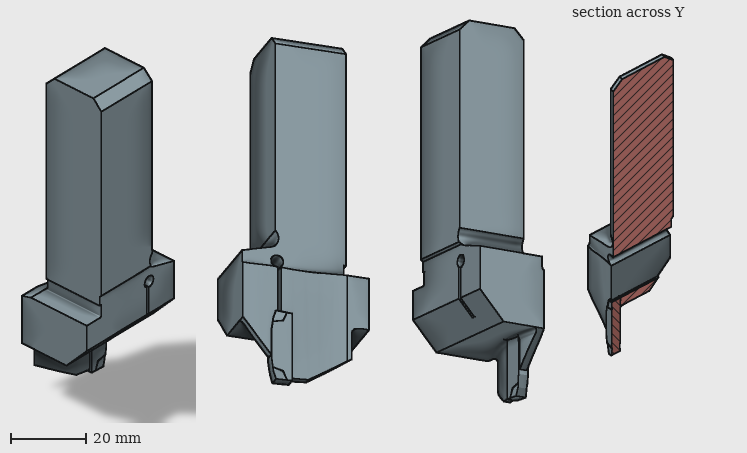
import cadquery as cq
import math


SHANK_WIDTH = 20.0
TOTAL_HEIGHT = 101.8
TOP_CHAMFER = 3.0
RELIEF = 0.6
SIDE_RELIEF_Z = 40.1
FRONT_RELIEF_Z = 36.6

HEAD_LEFT = -4.1
HEAD_RIGHT = SHANK_WIDTH - RELIEF
HEAD_FRONT = -5.1
HEAD_BACK = 29.3
HEAD_BOTTOM = 16.8
LEDGE_Z = 32.8
LEDGE_FILLET = 0.6
SHOULDER_ANGLE = math.radians(15)
SIDE_SHOULDER_Z = 31.9
SIDE_SHOULDER_FILLET = 1.3
BACK_SHOULDER_Z = 36.6
UNDERCUT_RADIUS = 3.1
UNDERCUT_DEPTH = 0.9
CORNER_CUT_X = 7.3
CORNER_CUT_Z = 7.9

ARC_Y = 20.9
INNER_CREST_X = -0.2
INNER_RADIUS = 52.4
INNER_FLAT_Y = 27.3
OUTER_CREST_X = 2.0
BLADE_FRONT = -0.2
BLADE_BOTTOM = 0.9
BLADE_BOTTOM_FRONT = 11.0
FRONT_CUT_ANGLE = math.radians(30)
JAW_TIP_Z = 7.1
BLADE_FILLET = 1.5

HOLE_Y = 19.4
HOLE_Z = 34.9
HOLE_RADIUS = 1.7
SLOT_FRONT = 18.4
SLOT_BACK = 19.3

INSERT_LENGTH = 20.2
INSERT_FRONT = 15.4
INSERT_BACK = 21.2
INSERT_CENTER_X = 0.9
INSERT_THICKNESS = 3.0
TIP_Y = SHANK_WIDTH
END_RELIEF = 0.2
RAKE_Y = 20.7
RAKE_Z = 2.2
RAKE_END_Z = 5.8
TIP_WIDTH = 3.1
NECK_WIDTH = 2.6
NECK_Z = 2.6
TIP_FRONT_LOW = 16.8
TIP_FRONT_HIGH = 17.9
TIP_RAMP_Z = 3.5

OUTER_SAGITTA = OUTER_CREST_X - HEAD_LEFT
OUTER_CHORD = ARC_Y - BLADE_FRONT
OUTER_RADIUS = (OUTER_SAGITTA**2 + OUTER_CHORD**2) / (2 * OUTER_SAGITTA)


def extrude_along_x(outline, x_start, x_end):
    """Extrude a closed YZ outline between two X positions."""
    return outline.close().extrude(x_end - x_start).translate((x_start, 0, 0))


def upright_cylinder(crest_x, radius):
    """Full-height cylinder whose +X crest is at crest_x on the arc centre line."""
    return cq.Workplane("XY").center(crest_x - radius, ARC_Y).circle(radius).extrude(TOTAL_HEIGHT)


def make_shank_and_head():
    undercut_y = SHANK_WIDTH - UNDERCUT_DEPTH + UNDERCUT_RADIUS
    tangent_y = undercut_y - UNDERCUT_RADIUS * math.sin(SHOULDER_ANGLE)
    tangent_z = BACK_SHOULDER_Z + (HEAD_BACK - tangent_y) * math.tan(SHOULDER_ANGLE)
    undercut_z = tangent_z + UNDERCUT_RADIUS * math.cos(SHOULDER_ANGLE)
    undercut_rise = math.sqrt(UNDERCUT_RADIUS**2 - (undercut_y - SHANK_WIDTH) ** 2)
    side = extrude_along_x(
        cq.Workplane("YZ")
        .moveTo(HEAD_FRONT, HEAD_BOTTOM)
        .lineTo(HEAD_BACK, HEAD_BOTTOM)
        .lineTo(HEAD_BACK, BACK_SHOULDER_Z)
        .lineTo(tangent_y, tangent_z)
        .threePointArc(
            (SHANK_WIDTH - UNDERCUT_DEPTH, undercut_z),
            (SHANK_WIDTH, undercut_z + undercut_rise),
        )
        .lineTo(SHANK_WIDTH, TOTAL_HEIGHT)
        .lineTo(0, TOTAL_HEIGHT)
        .lineTo(0, FRONT_RELIEF_Z)
        .lineTo(RELIEF, FRONT_RELIEF_Z)
        .lineTo(RELIEF, LEDGE_Z + LEDGE_FILLET)
        .radiusArc((RELIEF - LEDGE_FILLET, LEDGE_Z), LEDGE_FILLET)
        .lineTo(HEAD_FRONT, LEDGE_Z),
        HEAD_LEFT,
        SHANK_WIDTH,
    )

    corner_z = SIDE_SHOULDER_Z - HEAD_LEFT * math.tan(SHOULDER_ANGLE)
    setback = SIDE_SHOULDER_FILLET * math.tan((math.pi / 2 - SHOULDER_ANGLE) / 2)
    fillet_end = (
        -setback * math.cos(SHOULDER_ANGLE),
        corner_z - setback * math.sin(SHOULDER_ANGLE),
    )
    front = (
        cq.Workplane("XZ")
        .moveTo(HEAD_LEFT, HEAD_BOTTOM)
        .lineTo(HEAD_LEFT, SIDE_SHOULDER_Z)
        .lineTo(*fillet_end)
        .radiusArc((0, corner_z + setback), -SIDE_SHOULDER_FILLET)
        .lineTo(0, TOTAL_HEIGHT - TOP_CHAMFER)
        .lineTo(TOP_CHAMFER, TOTAL_HEIGHT)
        .lineTo(SHANK_WIDTH - TOP_CHAMFER, TOTAL_HEIGHT)
        .lineTo(SHANK_WIDTH, TOTAL_HEIGHT - TOP_CHAMFER)
        .lineTo(SHANK_WIDTH, SIDE_RELIEF_Z)
        .lineTo(HEAD_RIGHT, SIDE_RELIEF_Z - RELIEF)
        .lineTo(HEAD_RIGHT, HEAD_BOTTOM + CORNER_CUT_Z)
        .lineTo(HEAD_RIGHT - CORNER_CUT_X, HEAD_BOTTOM)
        .close()
        .extrude(HEAD_FRONT - HEAD_BACK)
        .translate((0, HEAD_FRONT, 0))
    )
    return side.intersect(front)


def make_blade():
    front_corner_z = BLADE_BOTTOM + (BLADE_BOTTOM_FRONT - BLADE_FRONT) * math.tan(FRONT_CUT_ANGLE)
    outline = (
        cq.Workplane("YZ")
        .moveTo(BLADE_FRONT, HEAD_BOTTOM)
        .lineTo(BLADE_FRONT, front_corner_z)
        .lineTo(BLADE_BOTTOM_FRONT, BLADE_BOTTOM)
        .lineTo(INSERT_FRONT, BLADE_BOTTOM)
        .lineTo(INSERT_BACK, JAW_TIP_Z)
        .lineTo(HEAD_BACK, HEAD_BOTTOM)
    )
    plate = extrude_along_x(outline, HEAD_LEFT, OUTER_CREST_X)
    return plate.intersect(upright_cylinder(OUTER_CREST_X, OUTER_RADIUS))


def make_inner_face_cutter():
    """Everything on the -X side of the concave inner face and its flat rear strip."""
    flat_offset = INNER_FLAT_Y - ARC_Y
    flat_x = INNER_CREST_X - INNER_RADIUS + math.sqrt(INNER_RADIUS**2 - flat_offset**2)
    rear_strip = cq.Workplane("XY").box(
        flat_x - HEAD_LEFT, HEAD_BACK - INNER_FLAT_Y, TOTAL_HEIGHT, centered=False
    ).translate((HEAD_LEFT, INNER_FLAT_Y, 0))
    return upright_cylinder(INNER_CREST_X, INNER_RADIUS).union(rear_strip)


def make_clamping_slot():
    slot = cq.Workplane("XY").box(
        SHANK_WIDTH - HEAD_LEFT, SLOT_BACK - SLOT_FRONT, HOLE_Z - INSERT_LENGTH, centered=False
    ).translate((HEAD_LEFT, SLOT_FRONT, INSERT_LENGTH))
    hole = (
        cq.Workplane("YZ", origin=(HEAD_LEFT, 0, 0))
        .center(HOLE_Y, HOLE_Z)
        .circle(HOLE_RADIUS)
        .extrude(SHANK_WIDTH - HEAD_LEFT)
    )
    return slot.union(hole)


def make_half_insert_plate(width):
    """Plate with the side outline of the lower half of the insert, centred on X = 0."""
    middle_z = INSERT_LENGTH / 2
    outline = (
        cq.Workplane("YZ")
        .moveTo(INSERT_FRONT, END_RELIEF)
        .lineTo(TIP_Y, 0)
        .lineTo(RAKE_Y, RAKE_Z)
        .lineTo(INSERT_BACK, RAKE_END_Z)
        .lineTo(INSERT_BACK, middle_z)
        .lineTo(INSERT_FRONT, middle_z)
    )
    return extrude_along_x(outline, -width / 2, width / 2)


def make_half_insert():
    """Lower half of the insert, with side clearance ground into its cutting tip."""
    tip_zone = extrude_along_x(
        cq.Workplane("YZ")
        .moveTo(TIP_FRONT_LOW, 0)
        .lineTo(TIP_FRONT_HIGH, NECK_Z)
        .lineTo(INSERT_BACK, TIP_RAMP_Z)
        .lineTo(INSERT_BACK, 0),
        -TIP_WIDTH / 2,
        TIP_WIDTH / 2,
    )
    taper = (
        cq.Workplane("XZ")
        .moveTo(-TIP_WIDTH / 2, 0)
        .lineTo(-NECK_WIDTH / 2, NECK_Z)
        .lineTo(-INSERT_THICKNESS / 2, TIP_RAMP_Z)
        .lineTo(INSERT_THICKNESS / 2, TIP_RAMP_Z)
        .lineTo(NECK_WIDTH / 2, NECK_Z)
        .lineTo(TIP_WIDTH / 2, 0)
        .close()
        .extrude(-INSERT_BACK)
    )
    tip = make_half_insert_plate(TIP_WIDTH).intersect(tip_zone).intersect(taper)
    return make_half_insert_plate(INSERT_THICKNESS).cut(tip_zone).union(tip)


def make_insert():
    """Insert with a cutting tip at each end, symmetric about its middle height."""
    lower = make_half_insert()
    upper = lower.mirror("XY").translate((0, 0, INSERT_LENGTH))
    return lower.union(upper).translate((INSERT_CENTER_X, 0, 0))


def make_holder(insert):
    """Join shank, head and blade, fillet the outer blade root, then make the cuts."""
    margin = 0.1
    blade_root = cq.selectors.BoxSelector(
        (HEAD_LEFT, BLADE_FRONT + margin, HEAD_BOTTOM - margin),
        (OUTER_CREST_X, HEAD_BACK - margin, HEAD_BOTTOM + margin),
    )
    body = make_shank_and_head().union(make_blade())
    body = body.edges(blade_root).fillet(BLADE_FILLET)
    return body.cut(make_inner_face_cutter()).cut(make_clamping_slot()).cut(insert)


insert = make_insert()
holder = make_holder(insert)
result = cq.Compound.makeCompound([holder.solids().val(), insert.solids().val()])